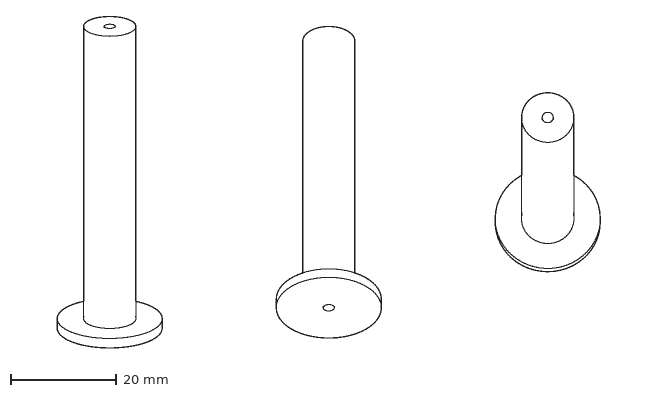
import cadquery as cq

total_height = 62.0
flange_diameter = 20.0
flange_thickness = 2.0
shaft_diameter = 10.0
bore_diameter = 2.1

flange = cq.Workplane("XY").circle(flange_diameter / 2).extrude(flange_thickness)

shaft = cq.Workplane("XY").circle(shaft_diameter / 2).extrude(total_height)

bore = cq.Workplane("XY").circle(bore_diameter / 2).extrude(total_height)

result = flange.union(shaft).cut(bore)